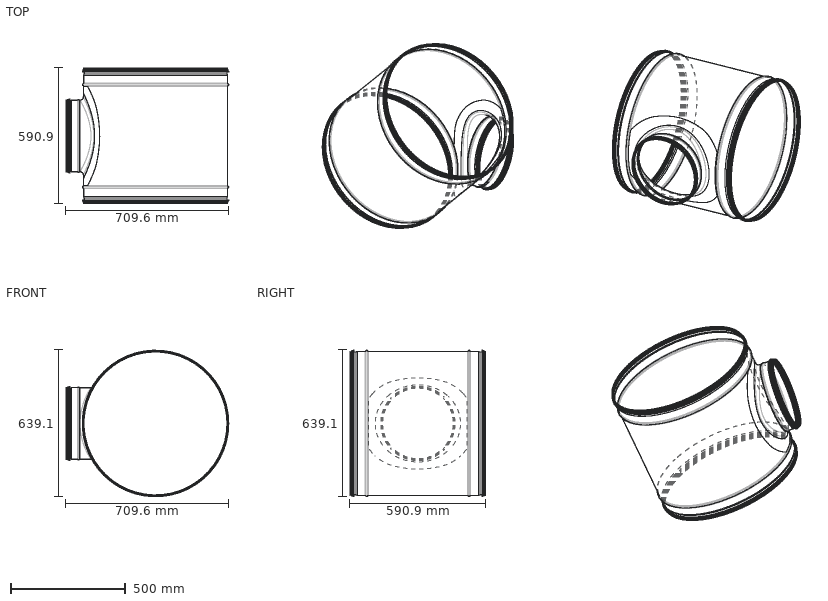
import cadquery as cq
import math


SHEET = 0.5

MAIN_LENGTH = 590.89
MAIN_RADIUS = 628.7 / 2
MAIN_STEP_START = 25.0
MAIN_STEP_END = 31.5
MAIN_BEAD = (72.5, 5.1, 7.0)

BRANCH_RADIUS = 313.85 / 2
BRANCH_END = 390.04
BRANCH_STEP_START = 20.0
BRANCH_STEP_END = 24.5
BRANCH_BEAD = (54.0, 2.7, 5.0)
SPIGOT_LENGTH = 61.0

GROOVE_DEPTH = 2.4

SEAL_BASE = 0.6
SEAL_END = 16.5
LIP_THICKNESS = 2.5
LOW_LIP_ROOT = 3.5
LOW_LIP_TIP = 8.0
LOW_LIP_RISE = 2.7
HIGH_LIP_ROOT = 9.0
HIGH_LIP_TIP = 14.0
HIGH_LIP_RISE = 5.2

COLLAR_RADIUS = BRANCH_RADIUS - SHEET
COLLAR_FILLET = 14.0
SADDLE_RADIUS = MAIN_RADIUS + SHEET
SADDLE_HALF_WIDTH = 215.0
SADDLE_HALF_HEIGHT = 199.5
SADDLE_SIDE_HEIGHT = 108.0
CROWN_HALF_WIDTH = 120.5
CROWN_HEIGHT = 181.0
SHOULDER_Y = 176.5
SHOULDER_Z = 150.0

HOLE_HALF_WIDTH = 186.0
HOLE_HALF_HEIGHT = 168.0


def spun_pipe(radius, inset, length, step_start, step_end, bead):
    """Solid of revolution around Y: seal groove, bead and plain pipe, its grooved end at Y = 0.

    The outline is that of a pipe of the given outer radius, moved inwards by the inset.
    """
    bead_centre, bead_height, bead_half_width = bead
    groove = radius - GROOVE_DEPTH - inset
    plain = radius - inset
    slope = 2 * math.atan(bead_height / bead_half_width)
    flank = plain + bead_height / 2 + inset * (1 - math.cos(slope))
    crest_half_width = bead_half_width / 2 - inset * math.sin(slope)
    return (
        cq.Workplane("XY")
        .lineTo(groove, 0)
        .lineTo(groove, step_start)
        .lineTo(plain, step_end)
        .lineTo(plain, bead_centre - bead_half_width)
        .tangentArcPoint((flank, bead_centre - crest_half_width), relative=False)
        .tangentArcPoint((flank, bead_centre + crest_half_width), relative=False)
        .tangentArcPoint((plain, bead_centre + bead_half_width), relative=False)
        .lineTo(plain, length)
        .lineTo(0, length)
        .close()
        .revolve(360, (0, 0), (0, 1))
    )


def pipe_end(radius, length, step_start, step_end, bead):
    """Sheet metal pipe with a rim, seal groove and bead, its open end at Y = 0."""
    skin = spun_pipe(radius, 0, length, step_start, step_end, bead)
    bore = spun_pipe(radius, SHEET, length, step_start, step_end, bead)
    rim = cq.Workplane("XZ").circle(radius).circle(radius - GROOVE_DEPTH - SHEET).extrude(-SHEET)
    return skin.cut(bore).union(rim)


def seal(radius):
    """Rubber band with two leaning lips, sitting in the groove of a pipe whose end is at Y = 0."""
    floor = radius - GROOVE_DEPTH
    band = floor + SEAL_BASE
    low_tip = radius + LOW_LIP_RISE
    high_tip = radius + HIGH_LIP_RISE
    return (
        cq.Workplane("XY")
        .moveTo(floor, SHEET)
        .lineTo(band, SHEET)
        .lineTo(band, LOW_LIP_ROOT)
        .lineTo(low_tip, LOW_LIP_TIP)
        .lineTo(low_tip, LOW_LIP_TIP + LIP_THICKNESS)
        .lineTo(band, LOW_LIP_ROOT + LIP_THICKNESS)
        .lineTo(band, HIGH_LIP_ROOT)
        .lineTo(high_tip, HIGH_LIP_TIP)
        .lineTo(high_tip, HIGH_LIP_TIP + LIP_THICKNESS)
        .lineTo(band, HIGH_LIP_ROOT + LIP_THICKNESS)
        .lineTo(band, SEAL_END)
        .lineTo(floor, SEAL_END)
        .close()
        .revolve(360, (0, 0), (0, 1))
    )


def at_front(body):
    """Move a body made at Y = 0 to the -Y end of the main pipe."""
    return body.translate((0, -MAIN_LENGTH / 2, 0))


def at_back(body):
    """Turn a body made at Y = 0 around onto the +Y end of the main pipe."""
    return at_front(body).rotate((0, 0, 0), (1, 0, 0), 180)


def at_branch(body):
    """Turn a body made at Y = 0 onto the branch, facing -X."""
    return body.rotate((0, 0, 0), (0, 0, 1), -90).translate((-BRANCH_END, 0, 0))


def filleted_tee(main_radius, collar_radius, fillet, collar_end):
    """Solid main cylinder with a solid branch cylinder blended into it."""
    main = cq.Workplane("XZ").circle(main_radius).extrude(MAIN_LENGTH / 2, both=True)
    branch = cq.Workplane("YZ").circle(collar_radius).extrude(-collar_end)
    reach = collar_radius + SHEET
    seam = cq.selectors.BoxSelector(
        (-main_radius - SHEET, -reach, -reach),
        (0, reach, reach),
        boundingbox=True,
    )
    return main.union(branch).edges(seam).fillet(fillet)


def make_main_pipe():
    half = pipe_end(MAIN_RADIUS, MAIN_LENGTH / 2, MAIN_STEP_START, MAIN_STEP_END, MAIN_BEAD)
    hole = cq.Workplane("YZ").ellipse(HOLE_HALF_WIDTH, HOLE_HALF_HEIGHT).extrude(-BRANCH_END)
    return at_front(half).union(at_back(half)).cut(hole)


def saddle_outline():
    """Prism along -X with the outline of the saddle plate."""
    upper_half = (
        cq.Workplane("YZ")
        .moveTo(SADDLE_HALF_WIDTH, 0)
        .lineTo(SADDLE_HALF_WIDTH, SADDLE_SIDE_HEIGHT)
        .threePointArc((SHOULDER_Y, SHOULDER_Z), (CROWN_HALF_WIDTH, CROWN_HEIGHT))
        .threePointArc((0, SADDLE_HALF_HEIGHT), (-CROWN_HALF_WIDTH, CROWN_HEIGHT))
        .threePointArc((-SHOULDER_Y, SHOULDER_Z), (-SADDLE_HALF_WIDTH, SADDLE_SIDE_HEIGHT))
        .lineTo(-SADDLE_HALF_WIDTH, 0)
    )
    return upper_half.mirrorX().extrude(-BRANCH_END)


def make_branch_saddle():
    """Saddle plate with its blended collar and the spigot sleeved over the collar."""
    bead_centre, _, bead_half_width = BRANCH_BEAD
    collar_end = BRANCH_END - bead_centre - bead_half_width
    outside = filleted_tee(SADDLE_RADIUS, COLLAR_RADIUS, COLLAR_FILLET, collar_end)
    inside = filleted_tee(MAIN_RADIUS, COLLAR_RADIUS - SHEET, COLLAR_FILLET + SHEET, collar_end)
    saddle = outside.cut(inside).intersect(saddle_outline())
    spigot = pipe_end(BRANCH_RADIUS, SPIGOT_LENGTH, BRANCH_STEP_START, BRANCH_STEP_END, BRANCH_BEAD)
    return saddle.union(at_branch(spigot))


main_pipe = make_main_pipe()
branch_saddle = make_branch_saddle()
front_seal = at_front(seal(MAIN_RADIUS))
back_seal = at_back(seal(MAIN_RADIUS))
branch_seal = at_branch(seal(BRANCH_RADIUS))

bodies = [main_pipe, branch_saddle, front_seal, back_seal, branch_seal]
result = cq.Compound.makeCompound([body.solids().val() for body in bodies])